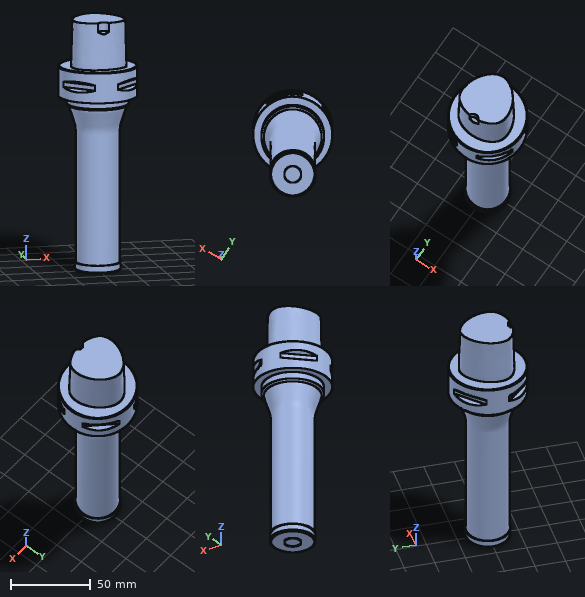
import cadquery as cq
import math

total_height = 162.0
flange_top = 132.0
flange_bottom = 112.5
collar_bottom = 107.7
neck_top = 106.5
neck_bottom = 90.2
cap_top = 5.7

flange_diameter = 50.0
collar_diameter = 39.5
neck_diameter = 36.5
shank_diameter = 28.0
cap_diameter = 29.0
boss_diameter = 10.7

flange_chamfer = 0.5
cap_chamfer = 0.8
boss_height = 0.5
neck_upper_corner = 105.3
neck_lower_corner = 92.5

coupling_diameter = 35.0
lobe_height = 1.0
taper_start = 135.1
taper_ratio = 1 / 20
lobe_count = 3
outline_points = 60

slot_count = 4
slot_first_angle = 45
slot_center_z = 122.1
slot_floor_height = 3.2
slot_floor_length = 23.3
slot_flare_angle = 31

keyway_radius = 3.7
keyway_center_y = -17.0
keyway_depth = 5.5
drill_point_angle = 118


def coupling_outline(diameter, z):
    """Closed curve with support distance radius - lobe_height * cos(3t), one lobe pointing to +Y."""
    radius = diameter / 2
    points = []
    for i in range(outline_points):
        t = 2 * math.pi * i / outline_points
        support = radius - lobe_height * math.cos(lobe_count * t)
        slope = lobe_count * lobe_height * math.sin(lobe_count * t)
        along = support * math.cos(t) - slope * math.sin(t)
        across = support * math.sin(t) + slope * math.cos(t)
        points.append(cq.Vector(across, -along, z))
    return cq.Wire.assembleEdges([cq.Edge.makeSpline(points, periodic=True)])


def make_coupling():
    """Straight lobed base below a tapered lobed cone."""
    top_diameter = coupling_diameter - taper_ratio * (total_height - taper_start)
    base_wire = coupling_outline(coupling_diameter, flange_top)
    start_wire = coupling_outline(coupling_diameter, taper_start)
    top_wire = coupling_outline(top_diameter, total_height)
    base = cq.Solid.makeLoft([base_wire, start_wire], True)
    taper = cq.Solid.makeLoft([start_wire, top_wire], True)
    return cq.Workplane(base).union(cq.Workplane(taper))


def make_turned_body():
    """Flange, collar, blended conical neck and shank as one revolved profile."""
    flange_radius = flange_diameter / 2
    neck_radius = neck_diameter / 2
    shank_radius = shank_diameter / 2
    cone_angle = math.atan2(neck_radius - shank_radius, neck_upper_corner - neck_lower_corner)
    upper_tangent = neck_top - neck_upper_corner
    lower_tangent = neck_lower_corner - neck_bottom
    cone_top_radius = neck_radius - upper_tangent * math.sin(cone_angle)
    cone_top = neck_upper_corner - upper_tangent * math.cos(cone_angle)
    cone_bottom_radius = shank_radius + lower_tangent * math.sin(cone_angle)
    cone_bottom = neck_lower_corner + lower_tangent * math.cos(cone_angle)
    return (
        cq.Workplane("XZ")
        .moveTo(0, cap_top)
        .lineTo(shank_radius, cap_top)
        .lineTo(shank_radius, neck_bottom)
        .tangentArcPoint((cone_bottom_radius, cone_bottom), relative=False)
        .lineTo(cone_top_radius, cone_top)
        .tangentArcPoint((neck_radius, neck_top), relative=False)
        .lineTo(collar_diameter / 2, collar_bottom)
        .lineTo(collar_diameter / 2, flange_bottom)
        .lineTo(flange_radius, flange_bottom)
        .lineTo(flange_radius, flange_top - flange_chamfer)
        .lineTo(flange_radius - flange_chamfer, flange_top)
        .lineTo(0, flange_top)
        .close()
        .revolve(360, (0, 0, 0), (0, 1, 0))
    )


def make_slot_cutter(angle):
    """Flat-floored slot with flared sides, cut across the flange as a chord."""
    flange_radius = flange_diameter / 2
    floor_distance = math.sqrt(flange_radius**2 - (slot_floor_length / 2) ** 2)
    floor_half = slot_floor_height / 2
    cut_depth = flange_radius - floor_distance
    mouth_half = floor_half + cut_depth * math.tan(math.radians(slot_flare_angle))
    return (
        cq.Workplane("XZ")
        .moveTo(floor_distance, slot_center_z - floor_half)
        .lineTo(flange_radius, slot_center_z - mouth_half)
        .lineTo(flange_radius, slot_center_z + mouth_half)
        .lineTo(floor_distance, slot_center_z + floor_half)
        .close()
        .extrude(flange_radius, both=True)
        .rotate((0, 0, 0), (0, 0, 1), angle)
    )


def make_keyway_cutter():
    """Vertical drilled hole with a conical point, open through the coupling side."""
    floor_z = total_height - keyway_depth
    point_depth = keyway_radius / math.tan(math.radians(drill_point_angle / 2))
    return (
        cq.Workplane("XZ")
        .moveTo(0, total_height)
        .lineTo(keyway_radius, total_height)
        .lineTo(keyway_radius, floor_z)
        .lineTo(0, floor_z - point_depth)
        .close()
        .revolve(360, (0, 0, 0), (0, 1, 0))
        .translate((0, keyway_center_y, 0))
    )


def make_holder():
    """Coupling, flange and shank with the gripper slots and keyway cut in."""
    body = make_turned_body().union(make_coupling())
    for i in range(slot_count):
        body = body.cut(make_slot_cutter(slot_first_angle + i * 360 / slot_count))
    return body.cut(make_keyway_cutter())


def make_end_cap():
    """Disc under the shank, with a chamfered lower rim and a shallow central boss."""
    disc = (
        cq.Workplane("XY")
        .workplane(offset=boss_height)
        .circle(cap_diameter / 2)
        .extrude(cap_top - boss_height)
        .faces("<Z")
        .chamfer(cap_chamfer)
    )
    boss = cq.Workplane("XY").circle(boss_diameter / 2).extrude(boss_height)
    return disc.union(boss)


holder = make_holder()
end_cap = make_end_cap()
result = cq.Compound.makeCompound([*holder.solids().vals(), *end_cap.solids().vals()])